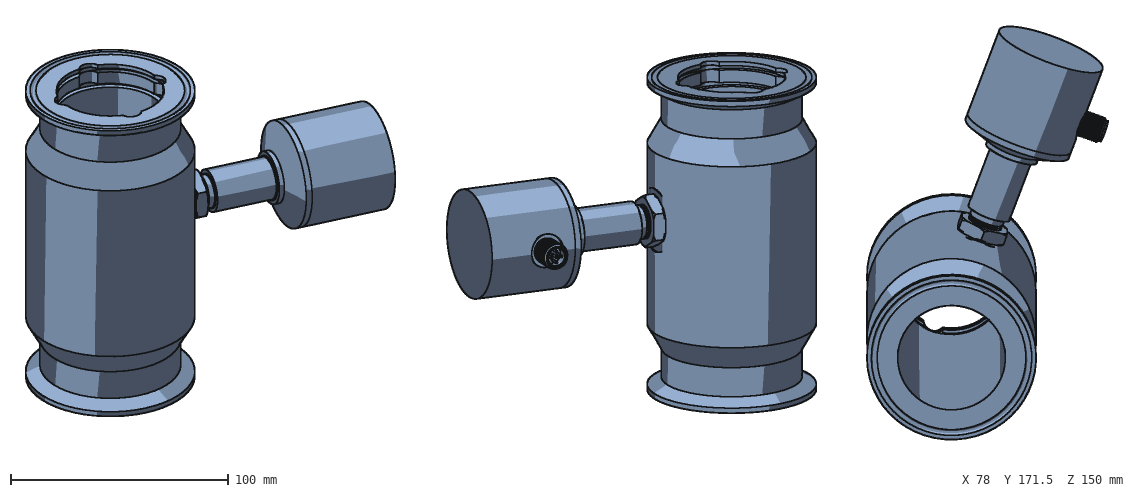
import cadquery as cq
import math


pipe_length = 150.0
pipe_radius = 78.0 / 2
pipe_neck_radius = 65.0 / 2
pipe_bore_radius = 49.6 / 2
rim_height = 2.5
rim_cone_height = 3.5
neck_end = 20.0
shoulder_end = 31.5

gasket_mid_radius = 35.6
gasket_groove_width = 2.7
gasket_groove_depth = 1.3

ring_groove_radius = 55.0 / 2
ring_groove_height = 2.0
ring_groove_depths = (2.0, 10.0)
notch_depth = ring_groove_depths[1] + ring_groove_height
notch_radius = 5.0
notch_count = 4

sensor_height = 86.0
seat_y = 38.4
seat_radius = 15.0

nut_across_flats = 22.0
nut_top_y = 44.4
nut_chamfer = 0.9
nut_chamfer_radius = 11.6
nut_washer_height = 0.5

stem_radius = 16.0 / 2
stem_tip_y = 28.0
thread_pitch = 1.0
stem_thread_depth = 0.7
stem_thread_top_y = nut_top_y + 2 * thread_pitch
sleeve_start_y = 49.2
sleeve_radius = 20.2 / 2
sleeve_lip_length = 0.5
sleeve_lower_lip_radius = 8.3
sleeve_upper_lip_radius = 10.6

collar_start_y = 79.8
collar_radius = 25.0 / 2
cone_start_y = 82.3
cone_end_y = 87.5
cover_start_y = 90.5
cover_end_y = 132.5
head_radius = 51.0 / 2

connector_y = 104.5
spotface_radius = 16.0 / 2
spotface_depth = 1.5
connector_seat_x = -(head_radius - spotface_depth)
connector_tip_x = -(head_radius + 11.0)
connector_tip_radius = 10.1 / 2
connector_radius = 12.0 / 2
connector_tip_length = 1.0
connector_lead_length = 1.0
connector_thread_depth = 0.5
thread_count = 10
socket_radius = 8.4 / 2
socket_mouth_radius = 9.7 / 2
socket_mouth_depth = 1.0
socket_depth = 6.0
insert_length = 3.0
pin_radius = 1.0 / 2
pin_circle_radius = 5.2 / 2
pin_length = 5.0


def turned_about_y(outline):
    """Revolve (radius, y) points about the sensor axis."""
    profile = cq.Workplane("XY").polyline(outline).close()
    return profile.revolve(360, (0, 0, 0), (0, 1, 0)).translate((0, 0, sensor_height))


def turned_about_connector(outline):
    """Revolve (x, radius) points about the connector axis."""
    profile = cq.Workplane("XY").polyline(outline).close()
    solid = profile.revolve(360, (0, 0, 0), (1, 0, 0))
    return solid.translate((0, connector_y, sensor_height))


def bar_along_y(radius, start, end):
    return turned_about_y([(0, start), (radius, start), (radius, end), (0, end)])


def bar_along_x(radius, start, end):
    return turned_about_connector([(start, 0), (start, radius), (end, radius), (end, 0)])


def disc_about_z(radius, bottom, height):
    return cq.Workplane("XY").workplane(offset=bottom).circle(radius).extrude(height)


def gasket_groove(face_z, inward):
    """Round-bottomed ring groove; inward is -1 for the top face and +1 for the bottom face."""
    half_width = gasket_groove_width / 2
    profile = (
        cq.Workplane("XZ")
        .moveTo(gasket_mid_radius - half_width, face_z)
        .threePointArc(
            (gasket_mid_radius, face_z + inward * gasket_groove_depth),
            (gasket_mid_radius + half_width, face_z),
        )
        .close()
    )
    return profile.revolve(360, (0, 0, 0), (0, 1, 0))


def make_pipe():
    lower_half = [
        (pipe_radius, 0),
        (pipe_radius, rim_height),
        (pipe_neck_radius, rim_height + rim_cone_height),
        (pipe_neck_radius, neck_end),
        (pipe_radius, shoulder_end),
    ]
    upper_half = [(r, pipe_length - z) for r, z in reversed(lower_half)]
    bore_line = [(pipe_bore_radius, pipe_length), (pipe_bore_radius, 0)]
    pipe = (
        cq.Workplane("XZ")
        .polyline(lower_half + upper_half + bore_line)
        .close()
        .revolve(360, (0, 0, 0), (0, 1, 0))
    )
    pipe = pipe.cut(gasket_groove(0, 1)).cut(gasket_groove(pipe_length, -1))

    for depth in ring_groove_depths:
        bottom = pipe_length - depth - ring_groove_height
        pipe = pipe.cut(disc_about_z(ring_groove_radius, bottom, ring_groove_height))

    notches = (
        cq.Workplane("XY")
        .workplane(offset=pipe_length - notch_depth)
        .polarArray(ring_groove_radius - notch_radius, 0, 360, notch_count)
        .circle(notch_radius)
        .extrude(notch_depth)
    )
    pipe = pipe.cut(notches)

    pipe = pipe.cut(bar_along_y(seat_radius, seat_y, pipe_radius))
    return pipe.cut(bar_along_y(stem_radius, stem_tip_y, seat_y))


def make_nut():
    corner_diameter = nut_across_flats / math.cos(math.pi / 6)
    corner_radius = corner_diameter / 2
    hexagon = (
        cq.Workplane("XZ", origin=(0, seat_y, sensor_height))
        .polygon(6, corner_diameter)
        .extrude(seat_y - nut_top_y)
        .rotate((0, 0, sensor_height), (0, 1, sensor_height), 90)
    )
    envelope = turned_about_y([
        (0, seat_y),
        (nut_chamfer_radius, seat_y),
        (nut_chamfer_radius, seat_y + nut_washer_height),
        (corner_radius, seat_y + nut_chamfer),
        (corner_radius, nut_top_y - nut_chamfer),
        (nut_chamfer_radius, nut_top_y),
        (0, nut_top_y),
    ])
    return hexagon.intersect(envelope).cut(bar_along_y(stem_radius, seat_y, nut_top_y))


def make_stem():
    outline = [(0, stem_tip_y), (stem_radius, stem_tip_y), (stem_radius, nut_top_y)]
    groove_y = nut_top_y
    while groove_y < stem_thread_top_y:
        outline.append((stem_radius - stem_thread_depth, groove_y + thread_pitch / 2))
        outline.append((stem_radius, groove_y + thread_pitch))
        groove_y += thread_pitch
    outline += [(stem_radius, sleeve_start_y), (0, sleeve_start_y)]
    return turned_about_y(outline)


def make_sleeve():
    return turned_about_y([
        (0, sleeve_start_y),
        (sleeve_lower_lip_radius, sleeve_start_y),
        (sleeve_lower_lip_radius, sleeve_start_y + sleeve_lip_length),
        (sleeve_radius, sleeve_start_y + sleeve_lip_length),
        (sleeve_radius, collar_start_y - sleeve_lip_length),
        (sleeve_upper_lip_radius, collar_start_y - sleeve_lip_length),
        (sleeve_upper_lip_radius, collar_start_y),
        (0, collar_start_y),
    ])


def make_head_base():
    return turned_about_y([
        (0, collar_start_y),
        (collar_radius, collar_start_y),
        (collar_radius, cone_start_y),
        (head_radius, cone_end_y),
        (head_radius, cover_start_y),
        (0, cover_start_y),
    ])


def make_cover():
    cover = bar_along_y(head_radius, cover_start_y, cover_end_y)
    return cover.cut(bar_along_x(spotface_radius, -head_radius, connector_seat_x))


def make_connector():
    thread_start = connector_tip_x + connector_tip_length + connector_lead_length
    outline = [
        (connector_tip_x, 0),
        (connector_tip_x, connector_tip_radius),
        (connector_tip_x + connector_tip_length, connector_tip_radius),
        (thread_start, connector_radius),
    ]
    for turn in range(thread_count):
        turn_x = thread_start + turn * thread_pitch
        outline.append((turn_x + thread_pitch / 2, connector_radius - connector_thread_depth))
        outline.append((turn_x + thread_pitch, connector_radius))
    outline += [(connector_seat_x, connector_radius), (connector_seat_x, 0)]
    shell = turned_about_connector(outline)
    socket = bar_along_x(socket_radius, connector_tip_x, connector_tip_x + socket_depth + insert_length)
    mouth = bar_along_x(socket_mouth_radius, connector_tip_x, connector_tip_x + socket_mouth_depth)
    return shell.cut(socket).cut(mouth)


def make_insert():
    face_x = connector_tip_x + socket_depth
    insert = bar_along_x(socket_radius, face_x, face_x + insert_length)
    pin = bar_along_x(pin_radius, face_x - pin_length, face_x)
    insert = insert.union(pin)
    for side in (-1, 1):
        offset = side * pin_circle_radius
        insert = insert.union(pin.translate((0, offset, 0)))
        insert = insert.union(pin.translate((0, 0, offset)))
    return insert


pipe = make_pipe()
nut = make_nut()
stem = make_stem()
sleeve = make_sleeve()
head_base = make_head_base()
cover = make_cover()
connector = make_connector()
insert = make_insert()

bodies = [pipe, nut, stem, sleeve, head_base, cover, connector, insert]
result = cq.Compound.makeCompound([body.val() for body in bodies])